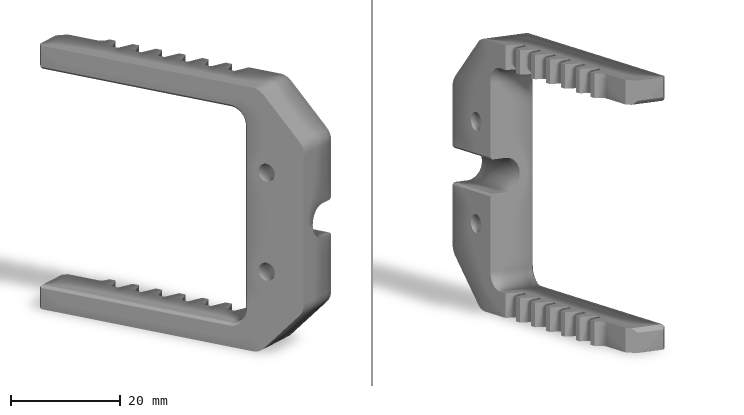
import cadquery as cq
import math

LENGTH = 57.15
THICKNESS = 9.55
HEIGHT = 50.8

ARM_WIDTH = 4.6
THROAT_DEPTH = 44.45
CORNER_RADIUS = 3.2
BACK_CORNER_CUT = 9.55

PITCH = 4.99
GAP_COUNT = 6
TOOTH_DEPTH = 3.15
GAP_ROOT_WIDTH = 1.4
PRESSURE_ANGLE = math.radians(20)
FIRST_GAP_X = 12.7

STEP_DEPTH = 1.6
STEP_RADIUS = 1.45

TIP_CHAMFER = 0.8
TIP_RACK_CHAMFER = 1.6
INNER_CHAMFER = 0.485

HOLE_DIAMETER = 3.5
HOLE_X = 49.2
HOLE_SPACING = 19.1
NOTCH_WIDTH = 6.4
NOTCH_DEPTH = 6.4
NOTCH_CHAMFER = 0.4

OPENING_HEIGHT = HEIGHT - 2 * ARM_WIDTH


def block(x0, x1, y0, y1, height):
    """Box between the given X and Y limits, centred on Z = 0."""
    box = cq.Workplane("XY").box(x1 - x0, y1 - y0, height, centered=(False, False, True))
    return box.translate((x0, y0, 0))


def make_frame():
    """U-shaped plate, open towards -X, with the opening edge broken on the -Y face."""
    outer = block(0, LENGTH, 0, THICKNESS, HEIGHT)
    outer = outer.edges("|Y and >X").chamfer(BACK_CORNER_CUT)
    outer = outer.edges("|Y and (not <X)").fillet(CORNER_RADIUS)

    opening = block(-LENGTH, THROAT_DEPTH, 0, THICKNESS, OPENING_HEIGHT)
    opening = opening.edges("|Y and >X").fillet(CORNER_RADIUS)
    frame = outer.cut(opening)

    slack = 0.05
    half_reach = OPENING_HEIGHT / 2 + slack
    opening_edges = cq.selectors.BoxSelector(
        (slack, -slack, -half_reach),
        (THROAT_DEPTH + slack, slack, half_reach),
    )
    return frame.edges(opening_edges).chamfer(INNER_CHAMFER)


def make_tip_cut():
    """Wedges that break the inner edge of each arm tip."""
    half = OPENING_HEIGHT / 2
    wedge = (
        cq.Workplane("XZ")
        .polyline([(0, half), (TIP_CHAMFER, half), (0, half + TIP_CHAMFER)])
        .close()
        .extrude(-THICKNESS)
    )
    return wedge.union(wedge.mirror("XY"))


def make_side_profile():
    """Side outline of the rack arms and plate, extruded over the full height."""
    flank_run = TOOTH_DEPTH * math.tan(PRESSURE_ANGLE)
    root_y = THICKNESS - TOOTH_DEPTH
    step_y = THICKNESS - STEP_DEPTH
    root_half = GAP_ROOT_WIDTH / 2
    top_half = root_half + flank_run
    first_tooth_x = FIRST_GAP_X - PITCH + top_half

    sweep = math.pi / 2 - PRESSURE_ANGLE
    arc_end_y = step_y + STEP_RADIUS * (1 - math.cos(sweep))
    arc_end_x = first_tooth_x - (THICKNESS - arc_end_y) * math.tan(PRESSURE_ANGLE)
    arc_start_x = arc_end_x - STEP_RADIUS * math.sin(sweep)
    arc_mid = (
        arc_start_x + STEP_RADIUS * math.sin(sweep / 2),
        step_y + STEP_RADIUS * (1 - math.cos(sweep / 2)),
    )

    profile = (
        cq.Workplane("XY", origin=(0, 0, -HEIGHT / 2))
        .moveTo(TIP_CHAMFER, 0)
        .lineTo(0, TIP_CHAMFER)
        .lineTo(0, step_y - TIP_RACK_CHAMFER)
        .lineTo(TIP_RACK_CHAMFER, step_y)
        .lineTo(arc_start_x, step_y)
        .threePointArc(arc_mid, (arc_end_x, arc_end_y))
        .lineTo(first_tooth_x, THICKNESS)
    )
    for i in range(GAP_COUNT):
        gap_x = FIRST_GAP_X + i * PITCH
        profile = (
            profile.lineTo(gap_x - top_half, THICKNESS)
            .lineTo(gap_x - root_half, root_y)
            .lineTo(gap_x + root_half, root_y)
            .lineTo(gap_x + top_half, THICKNESS)
        )
    return profile.lineTo(LENGTH, THICKNESS).lineTo(LENGTH, 0).close().extrude(HEIGHT)


def make_holes():
    """Two round holes through the thickness of the back wall."""
    return (
        cq.Workplane("XZ", origin=(HOLE_X, 0, 0))
        .pushPoints([(0, HOLE_SPACING / 2), (0, -HOLE_SPACING / 2)])
        .circle(HOLE_DIAMETER / 2)
        .extrude(-THICKNESS)
    )


def make_notch():
    """Round-bottomed notch in the +Y face, running along X through the back wall."""
    half = NOTCH_WIDTH / 2
    floor_y = THICKNESS - NOTCH_DEPTH
    mouth_half = half + NOTCH_CHAMFER
    return (
        cq.Workplane("YZ", origin=(THROAT_DEPTH, 0, 0))
        .moveTo(THICKNESS, mouth_half)
        .lineTo(THICKNESS - NOTCH_CHAMFER, half)
        .lineTo(floor_y + half, half)
        .threePointArc((floor_y, 0), (floor_y + half, -half))
        .lineTo(THICKNESS - NOTCH_CHAMFER, -half)
        .lineTo(THICKNESS, -mouth_half)
        .close()
        .extrude(LENGTH - THROAT_DEPTH)
    )


result = (
    make_frame()
    .intersect(make_side_profile())
    .cut(make_tip_cut())
    .cut(make_holes())
    .cut(make_notch())
)